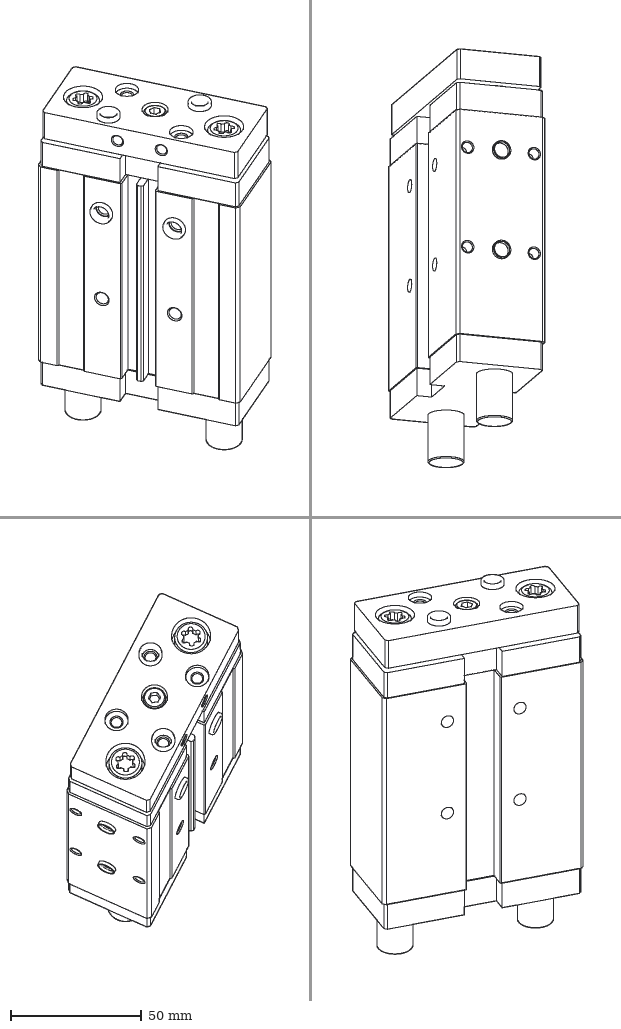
import cadquery as cq
import math


PROFILE_LEFT = -41.5
PROFILE_RIGHT = 41.4
PROFILE_BACK = 17.9
PROFILE_FRONT = -18.2
PROFILE_HEIGHT = 90.0
PROFILE_CHAMFER = 1.3
CAP_WIDTH = 81.3
CAP_DEPTH = 35.0
CAP_HEIGHT = 11.0
EDGE_CHAMFER = 1.0

PROFILE_RECESS_WIDTH = 13.8
CAP_RECESS_WIDTH = 15.5
PROFILE_RECESS_FLOOR = 10.9
CAP_RECESS_FLOOR = 11.5
RECESS_EDGE_CHAMFER = 0.5
RIB_WIDTH = 3.0
RIB_NOSE_WIDTH = 1.5
RIB_FRONT = -17.0
RIB_CHAMFER = (RIB_WIDTH - RIB_NOSE_WIDTH) / 2

GROOVE_INNER = 22.5
GROOVE_OUTER = 33.0
GROOVE_DEPTH = 0.6

PLATE_GAP = 1.6
PLATE_WIDTH = 80.2
PLATE_DEPTH = 34.0
PLATE_THICKNESS = 12.0

ROD_DIAMETER = 14.0
ROD_SPACING = 58.0
ROD_Y = -1.6
ROD_OVERHANG = 19.1
ROD_CHAMFER = 0.5
ROD_RECESS_DIAMETER = 15.0
ROD_RECESS_DEPTH = 7.3
HEAD_DIAMETER = 12.6
HEAD_TOP_DIAMETER = 10.7
HEAD_TAPER_HEIGHT = 0.9
HEAD_SINK = 0.7
LOBE_TIP_DIAMETER = 8.0
LOBE_CORE_DIAMETER = 5.7
LOBE_WIDTH = 1.8
LOBE_COUNT = 6
LOBE_DEPTH = 3.7

PISTON_DIAMETER = 8.0
PISTON_RECESS_DIAMETER = 10.0
PISTON_RECESS_DEPTH = 5.1
PISTON_HEAD_DIAMETER = 8.5
PISTON_HEAD_CHAMFER = 0.5
PISTON_HEAD_SINK = 0.6
HEX_ACROSS_FLATS = 4.0
HEX_DEPTH = 3.0

SLEEVE_OUTER = 9.0
SLEEVE_INNER = 6.5
SLEEVE_SEAT = 2.2
TOP_SLEEVE_PROTRUSION = 2.0
FRONT_SLEEVE_PROTRUSION = 1.6
MOUNT_SPACING_X = 30.0
MOUNT_HOLE = 5.0
MOUNT_MOUTH = 6.0
PLATE_MOUNT_SPACING_Y = 20.0
PLATE_MOUNT_OFFSET_Y = -1.0

ROW_SPACING = 40.0
UPPER_ROW_DROP = 15.0

THREAD_DIAMETER = 4.1
THREAD_MOUTH = 5.0
THREAD_DEPTH = 7.3
THREAD_TIP_ANGLE = 118
SIDE_THREAD_SPACING = 27.0
PLATE_THREAD_SPACING = 18.0

PLUG_OUTER = 7.0
PLUG_INNER = 6.2
PLUG_PROTRUSION = 1.3
PLUG_LENGTH = 5.1
PLUG_CUP_DEPTH = 1.9

CAP_TOP = PROFILE_HEIGHT + CAP_HEIGHT
PLATE_BOTTOM = CAP_TOP + PLATE_GAP
PLATE_TOP = PLATE_BOTTOM + PLATE_THICKNESS
ROD_BOTTOM = -CAP_HEIGHT - ROD_OVERHANG
UPPER_ROW = PROFILE_HEIGHT - UPPER_ROW_DROP
LOWER_ROW = UPPER_ROW - ROW_SPACING
ROWS = (UPPER_ROW, LOWER_ROW)
SIDES = (-1, 1)

UP = cq.Vector(0, 0, 1)
DOWN = cq.Vector(0, 0, -1)
INTO_FRONT = cq.Vector(0, 1, 0)
INTO_LEFT = cq.Vector(1, 0, 0)


def box(x_min, x_max, y_min, y_max, z_min, z_max):
    size = (x_max - x_min, y_max - y_min, z_max - z_min)
    return cq.Workplane("XY").box(*size, centered=False).translate((x_min, y_min, z_min))


def cylinder(diameter, length, start, direction):
    return cq.Workplane(cq.Solid.makeCylinder(diameter / 2, length, cq.Vector(*start), direction))


def cone(start_diameter, end_diameter, length, start, direction):
    solid = cq.Solid.makeCone(start_diameter / 2, end_diameter / 2, length, cq.Vector(*start), direction)
    return cq.Workplane(solid)


def chamfered_mouth(mouth_diameter, hole_diameter, mouth, direction):
    """Cone that breaks the edge of a hole at 45 degrees."""
    return cone(mouth_diameter, hole_diameter, (mouth_diameter - hole_diameter) / 2, mouth, direction)


def threaded_hole(mouth, direction):
    """Blind drilled hole with a 45 degree mouth chamfer and a conical bottom."""
    start = cq.Vector(*mouth)
    tip_length = THREAD_DIAMETER / 2 / math.tan(math.radians(THREAD_TIP_ANGLE / 2))
    bottom = (start + direction * THREAD_DEPTH).toTuple()
    hole = cylinder(THREAD_DIAMETER, THREAD_DEPTH, mouth, direction)
    hole = hole.union(cone(THREAD_DIAMETER, 0, tip_length, bottom, direction))
    return hole.union(chamfered_mouth(THREAD_MOUTH, THREAD_DIAMETER, mouth, direction))


def rod_positions():
    return [(side * ROD_SPACING / 2, ROD_Y) for side in SIDES]


def front_sleeve_positions():
    return [(side * MOUNT_SPACING_X / 2, PROFILE_FRONT, UPPER_ROW) for side in SIDES]


def plate_mount_position(side_x, side_y):
    y = PLATE_MOUNT_OFFSET_Y + side_y * PLATE_MOUNT_SPACING_Y / 2
    return (side_x * MOUNT_SPACING_X / 2, y, PLATE_TOP)


def top_sleeve_positions():
    """One diagonal pair of the four mounting holes of the plate."""
    return [plate_mount_position(side, side) for side in SIDES]


def make_profile_recess(face_y, floor_y, chamfer_y):
    """Recess in the front or back face, with chamfered mouth edges; chamfer_y points to the floor."""
    wall = PROFILE_RECESS_WIDTH / 2
    mouth = wall + RECESS_EDGE_CHAMFER
    outline = [
        (-mouth, face_y),
        (-wall, face_y + chamfer_y),
        (-wall, floor_y),
        (wall, floor_y),
        (wall, face_y + chamfer_y),
        (mouth, face_y),
    ]
    return cq.Workplane("XY").polyline(outline).close().extrude(PROFILE_HEIGHT)


def make_groove(left, right):
    """Front groove whose side walls slope at 45 degrees; left and right are at half depth."""
    floor = PROFILE_FRONT + GROOVE_DEPTH
    outline = [
        (left - GROOVE_DEPTH / 2, PROFILE_FRONT),
        (left + GROOVE_DEPTH / 2, floor),
        (right - GROOVE_DEPTH / 2, floor),
        (right + GROOVE_DEPTH / 2, PROFILE_FRONT),
    ]
    return cq.Workplane("XY").polyline(outline).close().extrude(PROFILE_HEIGHT)


def make_profile():
    body = box(PROFILE_LEFT, PROFILE_RIGHT, PROFILE_FRONT, PROFILE_BACK, 0, PROFILE_HEIGHT)
    body = body.edges("|Z").chamfer(PROFILE_CHAMFER)
    body = body.cut(make_profile_recess(PROFILE_FRONT, -PROFILE_RECESS_FLOOR, RECESS_EDGE_CHAMFER))
    body = body.cut(make_profile_recess(PROFILE_BACK, PROFILE_RECESS_FLOOR, -RECESS_EDGE_CHAMFER))
    for left in (-GROOVE_OUTER, GROOVE_INNER):
        body = body.cut(make_groove(left, left + GROOVE_OUTER - GROOVE_INNER))
    rib = box(-RIB_WIDTH / 2, RIB_WIDTH / 2, RIB_FRONT, -PROFILE_RECESS_FLOOR, 0, PROFILE_HEIGHT)
    rib = rib.edges("|Z and <Y").chamfer(RIB_CHAMFER)
    return body.union(rib)


def make_cap(bottom):
    half_width = CAP_WIDTH / 2
    half_depth = CAP_DEPTH / 2
    top = bottom + CAP_HEIGHT
    cap = box(-half_width, half_width, -half_depth, half_depth, bottom, top)
    cap = cap.edges("|Z").chamfer(EDGE_CHAMFER)
    recess = CAP_RECESS_WIDTH / 2
    cap = cap.cut(box(-recess, recess, -half_depth, -CAP_RECESS_FLOOR, bottom, top))
    return cap.cut(box(-recess, recess, CAP_RECESS_FLOOR, half_depth, bottom, top))


def make_housing():
    housing = make_profile().union(make_cap(-CAP_HEIGHT)).union(make_cap(PROFILE_HEIGHT))
    for x, y in rod_positions():
        housing = housing.cut(cylinder(ROD_DIAMETER, CAP_TOP + CAP_HEIGHT, (x, y, -CAP_HEIGHT), UP))
    housing = housing.cut(cylinder(PISTON_DIAMETER, CAP_TOP, (0, 0, 0), UP))
    for z in ROWS:
        for side in SIDES:
            x = side * MOUNT_SPACING_X / 2
            mouth = (x, PROFILE_FRONT, z)
            housing = housing.cut(cylinder(MOUNT_HOLE, PROFILE_BACK - PROFILE_FRONT, mouth, INTO_FRONT))
            if z == UPPER_ROW:
                housing = housing.cut(cylinder(SLEEVE_OUTER, SLEEVE_SEAT, mouth, INTO_FRONT))
                mouth = (x, PROFILE_FRONT + SLEEVE_SEAT, z)
            housing = housing.cut(chamfered_mouth(MOUNT_MOUTH, MOUNT_HOLE, mouth, INTO_FRONT))
            mouth = (PROFILE_LEFT, side * SIDE_THREAD_SPACING / 2, z)
            housing = housing.cut(threaded_hole(mouth, INTO_LEFT))
        seat_depth = PLUG_LENGTH - PLUG_PROTRUSION
        housing = housing.cut(cylinder(PLUG_OUTER, seat_depth, (PROFILE_LEFT, 0, z), INTO_LEFT))
    return housing


def make_piston_rod():
    """Piston rod with the hexagon socket screw head at its upper end."""
    rod = cylinder(PISTON_DIAMETER, PLATE_BOTTOM, (0, 0, 0), UP)
    head_top = PLATE_TOP - PISTON_HEAD_SINK
    head = cylinder(PISTON_HEAD_DIAMETER, head_top - PLATE_BOTTOM, (0, 0, PLATE_BOTTOM), UP)
    head = head.faces(">Z").chamfer(PISTON_HEAD_CHAMFER)
    corner_diameter = HEX_ACROSS_FLATS / math.cos(math.radians(30))
    socket = cq.Workplane("XY").workplane(offset=head_top - HEX_DEPTH).polygon(6, corner_diameter)
    head = head.cut(socket.extrude(HEX_DEPTH))
    return rod.union(head)


def make_yoke():
    """Plate that carries the guide rods, in one piece with the piston rod."""
    half_width = PLATE_WIDTH / 2
    half_depth = PLATE_DEPTH / 2
    yoke = box(-half_width, half_width, -half_depth, half_depth, PLATE_BOTTOM, PLATE_TOP)
    yoke = yoke.edges("|Z").chamfer(EDGE_CHAMFER)
    for x, y in rod_positions():
        yoke = yoke.cut(cylinder(ROD_RECESS_DIAMETER, ROD_RECESS_DEPTH, (x, y, PLATE_TOP), DOWN))
        yoke = yoke.cut(cylinder(HEAD_DIAMETER, PLATE_THICKNESS, (x, y, PLATE_TOP), DOWN))
    for side_x in SIDES:
        for side_y in SIDES:
            mouth = plate_mount_position(side_x, side_y)
            yoke = yoke.cut(cylinder(SLEEVE_OUTER, SLEEVE_SEAT, mouth, DOWN))
            yoke = yoke.cut(cylinder(THREAD_DIAMETER, PLATE_THICKNESS, mouth, DOWN))
            seat = (mouth[0], mouth[1], PLATE_TOP - SLEEVE_SEAT)
            yoke = yoke.cut(chamfered_mouth(THREAD_MOUTH, THREAD_DIAMETER, seat, DOWN))
        mouth = (side_x * PLATE_THREAD_SPACING / 2, -half_depth, PLATE_BOTTOM + PLATE_THICKNESS / 2)
        yoke = yoke.cut(threaded_hole(mouth, INTO_FRONT))
    yoke = yoke.cut(cylinder(PISTON_RECESS_DIAMETER, PISTON_RECESS_DEPTH, (0, 0, PLATE_TOP), DOWN))
    return yoke.union(make_piston_rod())


def make_star_socket(x, y, top):
    """Six-lobed screw drive with two lobes along Y."""
    socket = cylinder(LOBE_CORE_DIAMETER, LOBE_DEPTH, (x, y, top), DOWN)
    tip_circle = (LOBE_TIP_DIAMETER - LOBE_WIDTH) / 2
    for index in range(LOBE_COUNT):
        angle = math.radians(90 + index * 360 / LOBE_COUNT)
        tip = (x + tip_circle * math.cos(angle), y + tip_circle * math.sin(angle), top)
        socket = socket.union(cylinder(LOBE_WIDTH, LOBE_DEPTH, tip, DOWN))
    return socket


def make_guide_rod(x, y):
    """Guide rod with its screw head, which passes up through the plate."""
    rod = cylinder(ROD_DIAMETER, PLATE_BOTTOM - ROD_BOTTOM, (x, y, ROD_BOTTOM), UP)
    rod = rod.faces("<Z").chamfer(ROD_CHAMFER)
    head_top = PLATE_TOP - HEAD_SINK
    taper_bottom = head_top - HEAD_TAPER_HEIGHT
    head = cylinder(HEAD_DIAMETER, taper_bottom - PLATE_BOTTOM, (x, y, PLATE_BOTTOM), UP)
    head = head.union(cone(HEAD_DIAMETER, HEAD_TOP_DIAMETER, HEAD_TAPER_HEIGHT, (x, y, taper_bottom), UP))
    return rod.union(head).cut(make_star_socket(x, y, head_top))


def make_sleeve(protrusion):
    """Upright centring sleeve with a fully rounded upper rim; its seat plane is at Z = 0."""
    outer_radius = SLEEVE_OUTER / 2
    inner_radius = SLEEVE_INNER / 2
    rim_radius = (outer_radius - inner_radius) / 2
    rim_start = protrusion - rim_radius
    section = (
        cq.Workplane("XZ")
        .moveTo(-outer_radius, -SLEEVE_SEAT)
        .lineTo(-outer_radius, rim_start)
        .threePointArc((-outer_radius + rim_radius, protrusion), (-inner_radius, rim_start))
        .lineTo(-inner_radius, -SLEEVE_SEAT)
        .close()
    )
    return section.revolve(360, (0, 0), (0, 1))


def make_top_sleeve(mouth):
    return make_sleeve(TOP_SLEEVE_PROTRUSION).translate(mouth)


def make_front_sleeve(mouth):
    sleeve = make_sleeve(FRONT_SLEEVE_PROTRUSION).rotate((0, 0, 0), (1, 0, 0), 90)
    return sleeve.translate(mouth)


def make_port_plug(z):
    outer_end = (PROFILE_LEFT - PLUG_PROTRUSION, 0, z)
    plug = cylinder(PLUG_OUTER, PLUG_LENGTH, outer_end, INTO_LEFT)
    return plug.cut(cylinder(PLUG_INNER, PLUG_CUP_DEPTH, outer_end, INTO_LEFT))


housing = make_housing()
yoke = make_yoke()
guide_rods = [make_guide_rod(x, y) for x, y in rod_positions()]
top_sleeves = [make_top_sleeve(mouth) for mouth in top_sleeve_positions()]
front_sleeves = [make_front_sleeve(mouth) for mouth in front_sleeve_positions()]
port_plugs = [make_port_plug(z) for z in ROWS]

bodies = [housing, yoke, *guide_rods, *top_sleeves, *front_sleeves, *port_plugs]
result = cq.Compound.makeCompound([body.val() for body in bodies])